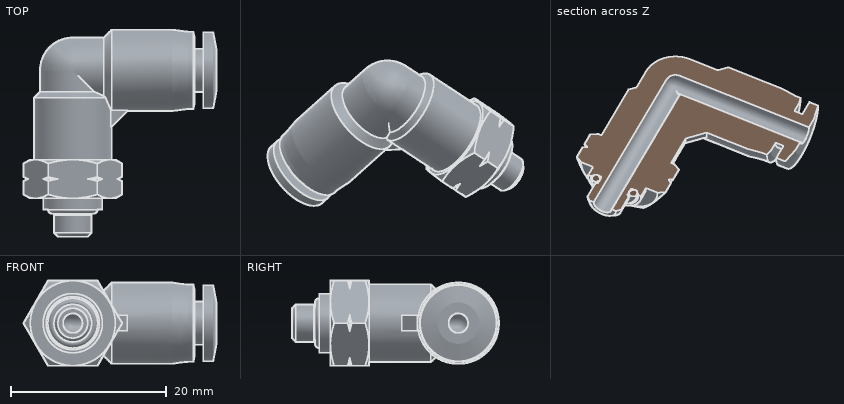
import cadquery as cq
import math


bend_radius = 4.25
stem_radius = 5.0
stem_shoulder_start = 2.75
socket_radius = 5.25
socket_shoulder_start = 4.0
socket_taper_start = 12.77
lip_radius = 4.98
lip_start = 14.8
lip_end = 15.5
lip_face_radius = 4.13
lip_face = 15.7

button_neck_radius = 2.8
button_start = 16.75
button_radius = 4.9
button_face_radius = 2.66
button_rim_end = 18.07
button_end = 18.5
button_rim_fillet = 0.1

web_leg = 2.0
web_thickness = 2.0

hex_flats = 11.0
hex_top = 11.45
hex_height = 5.0
hex_chamfer_radius = 5.45
hex_chamfer_angle = 30
notch_bottom_radius = 5.84
notch_half_width = 0.27

collar_radius = 3.8
collar_face = 17.9
thread_radius = 2.43
thread_start = 18.6
thread_chamfer = 0.5
thread_relief_angle = 60
stud_end = 21.4
bore_radius = 1.25

ring_section_radius = 0.53
ring_mean_radius = 2.66
neck_radius = ring_mean_radius - ring_section_radius
seat_mouth_radius = ring_mean_radius + ring_section_radius * math.sqrt(2)
seat_floor_radius = seat_mouth_radius - ring_section_radius

hex_corner_radius = hex_flats / math.sqrt(3)
hex_bottom = hex_top + hex_height
hex_middle = hex_top + hex_height / 2
seat_floor = collar_face - ring_section_radius
thread_relief_length = (thread_radius - neck_radius) / math.tan(math.radians(thread_relief_angle))


def turned_on_x(outline):
    """Revolve an outline of (distance along +X, radius) points about the X axis."""
    return cq.Workplane("XY").polyline(outline).close().revolve(360, (0, 0, 0), (1, 0, 0))


def turned_on_y(outline):
    """Revolve an outline of (radius, distance along -Y) points about the Y axis."""
    points = [(radius, -distance) for radius, distance in outline]
    return cq.Workplane("XY").polyline(points).close().revolve(360, (0, 0, 0), (0, 1, 0))


def make_tube_arm():
    """Slim arm, shouldered socket, tapered end and lip."""
    socket_shoulder_end = socket_shoulder_start + socket_radius - bend_radius
    return turned_on_x([
        (0, 0),
        (0, bend_radius),
        (socket_shoulder_start, bend_radius),
        (socket_shoulder_end, socket_radius),
        (socket_taper_start, socket_radius),
        (lip_start, lip_radius),
        (lip_end, lip_radius),
        (lip_face, lip_face_radius),
        (lip_face, 0),
    ])


def make_release_button():
    """Narrow neck and conical-faced head on the open end of the socket."""
    neck = turned_on_x([
        (lip_face, 0),
        (lip_face, button_neck_radius),
        (button_start, button_neck_radius),
        (button_start, 0),
    ])
    head = turned_on_x([
        (button_start, 0),
        (button_start, button_radius),
        (button_rim_end, button_radius),
        (button_end, button_face_radius),
        (button_end, 0),
    ])
    rim_edge = cq.selectors.NearestToPointSelector((button_rim_end, 0, 0))
    return neck.union(head.edges(rim_edge).fillet(button_rim_fillet))


def make_stem():
    stem_shoulder_end = stem_shoulder_start + stem_radius - bend_radius
    return turned_on_y([
        (0, 0),
        (bend_radius, 0),
        (bend_radius, stem_shoulder_start),
        (stem_radius, stem_shoulder_end),
        (stem_radius, hex_top),
        (0, hex_top),
    ])


def make_web():
    corner_x = stem_radius + web_leg
    corner_y = -socket_radius - web_leg
    outline = [
        (0, 0),
        (corner_x, 0),
        (corner_x, -socket_radius),
        (stem_radius, corner_y),
        (0, corner_y),
    ]
    return cq.Workplane("XY").polyline(outline).close().extrude(web_thickness / 2, both=True)


def make_hexagon():
    prism = (
        cq.Workplane("XZ", origin=(0, -hex_top, 0))
        .polygon(6, 2 * hex_corner_radius)
        .extrude(hex_height)
    )
    chamfer_drop = (hex_corner_radius - hex_chamfer_radius) * math.tan(math.radians(hex_chamfer_angle))
    envelope = turned_on_y([
        (0, hex_top),
        (hex_chamfer_radius, hex_top),
        (hex_corner_radius, hex_top + chamfer_drop),
        (hex_corner_radius, hex_middle - notch_half_width),
        (notch_bottom_radius, hex_middle),
        (hex_corner_radius, hex_middle + notch_half_width),
        (hex_corner_radius, hex_bottom - chamfer_drop),
        (hex_chamfer_radius, hex_bottom),
        (0, hex_bottom),
    ])
    return prism.intersect(envelope)


def make_stud():
    """Collar with the ring seat, relieved neck and threaded end."""
    return turned_on_y([
        (0, hex_bottom),
        (collar_radius, hex_bottom),
        (collar_radius, collar_face),
        (seat_mouth_radius, collar_face),
        (seat_floor_radius, seat_floor),
        (neck_radius, seat_floor),
        (neck_radius, thread_start - thread_relief_length),
        (thread_radius, thread_start),
        (thread_radius, stud_end - thread_chamfer),
        (thread_radius - thread_chamfer, stud_end),
        (0, stud_end),
    ])


def make_flow_passage():
    """Bore through both arms, joined by a ball at the corner."""
    stud_bore = cq.Workplane("XZ").circle(bore_radius).extrude(stud_end)
    tube_bore = cq.Workplane("YZ").circle(bore_radius).extrude(button_end)
    return stud_bore.union(tube_bore).union(cq.Workplane("XY").sphere(bore_radius))


def make_fitting():
    return (
        cq.Workplane("XY")
        .sphere(bend_radius)
        .union(make_tube_arm())
        .union(make_stem())
        .union(make_web())
        .union(make_release_button())
        .union(make_hexagon())
        .union(make_stud())
        .cut(make_flow_passage())
    )


def make_seal_ring():
    return (
        cq.Workplane("XY")
        .center(ring_mean_radius, -collar_face)
        .circle(ring_section_radius)
        .revolve(360, (-ring_mean_radius, 0, 0), (-ring_mean_radius, 1, 0))
    )


fitting = make_fitting()
seal_ring = make_seal_ring()
result = cq.Compound.makeCompound([fitting.solids().val(), seal_ring.val()])